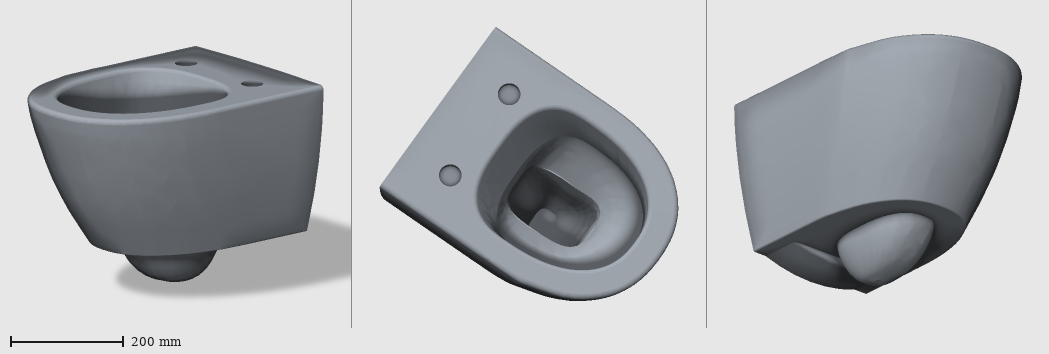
import cadquery as cq
import math


DECK_HEIGHT = 276.5
BODY_SECTIONS = [
    (0.0, 133.0, 357.5, 140.0),
    (66.0, 151.5, 401.0, 170.0),
    (140.0, 166.8, 438.0, 205.0),
    (205.0, 175.3, 462.5, 230.0),
    (268.0, 178.75, 480.5, 245.0),
    (290.0, 178.75, 482.5, 245.0),
]
BODY_EXPONENT = 2.3
BOTTOM_FILLET = 4.0
RIM_FILLET = 8.0

CROWN_AT_WALL = 3.2
CROWN_AT_FRONT = 0.2
CROWN_HALF_WIDTH = 200.0
CROWN_REACH = 500.0

LEDGE = (188.0, 116.0, 171.0, 418.0)
RIM = (DECK_HEIGHT, 130.5, 132.0, 428.0)
BOWL_TOP_HEIGHT = 290.0
FLOOR_MIDDLE = (150.0, 86.0, 172.0, 360.0)
FLOOR_BOTTOM = (108.0, 54.0, 173.0, 332.0)
BOWL_FRONT_EXPONENT = 2.35
BOWL_REAR_EXPONENT = 2.7
BOWL_WIDEST = 0.35
BOWL_EDGE_FILLET = 8.0

TROUGH_SECTIONS = [
    (125.0, 54.0, 168.0, 333.0),
    (40.0, 51.0, 188.0, 308.0),
    (-30.0, 43.0, 203.0, 272.0),
    (-66.0, 26.0, 208.0, 246.0),
]
TROUGH_EXPONENT = 3.5

TRAP_SECTIONS = [
    (20.0, 60.0, 96.0, 314.0),
    (0.0, 59.0, 100.5, 307.0),
    (-33.0, 55.3, 112.5, 289.5),
    (-58.0, 45.0, 128.0, 266.0),
    (-74.0, 32.5, 145.0, 238.5),
    (-82.0, 19.0, 165.0, 208.0),
    (-85.0, 8.0, 177.0, 193.0),
]
TRAP_EXPONENT = 2.5

PAD_HALF_WIDTH = 105.0
PAD_REACH = 80.0
PAD_DEPTH_AT_WALL = 17.5
PAD_DEPTH_AT_FRONT = 13.0
PAD_OVERLAP = 10.0
PAD_FILLET = 7.0

SEAT_HOLE_DIAMETER = 40.0
SEAT_HOLE_SPACING = 181.0
SEAT_HOLE_SETBACK = 91.0
SEAT_HOLE_DEPTH = 11.5

QUARTER_STEPS = 6


def superellipse_quarter(half_width, length, exponent):
    """Points from (half_width, 0) to (0, length) on one quarter of a superellipse."""
    points = []
    for step in range(QUARTER_STEPS + 1):
        angle = math.pi / 2 * step / QUARTER_STEPS
        x = half_width * max(math.cos(angle), 0.0) ** (2 / exponent)
        y = length * math.sin(angle) ** (2 / exponent)
        points.append((x if step < QUARTER_STEPS else 0.0, y))
    return points


def mirrored(points):
    """Continue a run of points ending on x = 0 with its mirror image."""
    return points + [(-x, y) for x, y in reversed(points[:-1])]


def body_wire(height, half_width, reach, straight):
    """D-shaped section: flat rear, straight sides and a rounded front."""
    quarter = superellipse_quarter(half_width, reach - straight, BODY_EXPONENT)
    front = [cq.Vector(x, -straight - y, height) for x, y in mirrored(quarter)]
    tangents = [cq.Vector(0, -1, 0), cq.Vector(0, 1, 0)]
    rear_right = cq.Vector(half_width, 0, height)
    rear_left = cq.Vector(-half_width, 0, height)
    return cq.Wire.assembleEdges([
        cq.Edge.makeLine(rear_left, rear_right),
        cq.Edge.makeLine(rear_right, front[0]),
        cq.Edge.makeSpline(front, tangents=tangents),
        cq.Edge.makeLine(front[-1], rear_left),
    ])


def oval_wire(section, front_exponent, rear_exponent, widest):
    """Closed oval section, widest at the given fraction of its length from the rear."""
    height, half_width, rear, front = section
    middle = rear + widest * (front - rear)
    front_half = mirrored(superellipse_quarter(half_width, front - middle, front_exponent))
    rear_half = mirrored(superellipse_quarter(half_width, middle - rear, rear_exponent))
    outline = [(x, -middle - y) for x, y in front_half]
    outline += [(-x, -middle + y) for x, y in rear_half[1:-1]]
    points = [cq.Vector(x, y, height) for x, y in outline]
    return cq.Wire.assembleEdges([cq.Edge.makeSpline(points, periodic=True)])


def oval_loft(sections, front_exponent, rear_exponent, widest=0.5):
    """Smooth solid through closed oval sections."""
    wires = [oval_wire(section, front_exponent, rear_exponent, widest) for section in sections]
    return cq.Workplane(cq.Solid.makeLoft(wires))


def arched_loft(half_width, reach, rises, base, far_side):
    """Solid between a flat plane z = far_side and an arched surface over y = 0 to -reach."""
    wires = []
    for y, rise in zip((0.0, -reach), rises):
        left = cq.Vector(-half_width, y, base)
        crown = cq.Vector(0, y, base + rise)
        right = cq.Vector(half_width, y, base)
        far_right = cq.Vector(half_width, y, far_side)
        far_left = cq.Vector(-half_width, y, far_side)
        wires.append(cq.Wire.assembleEdges([
            cq.Edge.makeThreePointArc(left, crown, right),
            cq.Edge.makeLine(right, far_right),
            cq.Edge.makeLine(far_right, far_left),
            cq.Edge.makeLine(far_left, left),
        ]))
    return cq.Workplane(cq.Solid.makeLoft(wires, True))


def make_body():
    """Tapering outer body with a crowned deck and rounded outline edges."""
    wires = [body_wire(*section) for section in BODY_SECTIONS]
    body = cq.Workplane(cq.Solid.makeLoft(wires))
    top_height = BODY_SECTIONS[-1][0]
    crown_rises = (CROWN_AT_WALL, CROWN_AT_FRONT)
    above_deck = arched_loft(CROWN_HALF_WIDTH, CROWN_REACH, crown_rises, DECK_HEIGHT, 2 * top_height)
    body = body.cut(above_deck)
    wall_edges = cq.selectors.BoxSelector((-500, -1, -500), (500, 1, 500))
    body = body.faces("<Z").edges(cq.selectors.InverseSelector(wall_edges)).fillet(BOTTOM_FILLET)
    return body.faces(">Z").edges(cq.selectors.InverseSelector(wall_edges)).fillet(RIM_FILLET)


def make_pad():
    """Arched pad hanging under the rear of the body, rounded at its front."""
    depths = (-PAD_DEPTH_AT_WALL, -PAD_DEPTH_AT_FRONT)
    pad = arched_loft(PAD_HALF_WIDTH, PAD_REACH, depths, 0.0, PAD_OVERLAP)
    return pad.faces("<Y").edges("<Z").fillet(PAD_FILLET)


def make_bowl():
    """Bowl cavity: steep upper wall, shallower floor below the ledge."""
    slope = (BOWL_TOP_HEIGHT - LEDGE[0]) / (RIM[0] - LEDGE[0])
    top = [low + slope * (high - low) for low, high in zip(LEDGE, RIM)]
    wall = oval_loft([LEDGE, top], BOWL_FRONT_EXPONENT, BOWL_REAR_EXPONENT, BOWL_WIDEST)
    floor = oval_loft([LEDGE, FLOOR_MIDDLE, FLOOR_BOTTOM], BOWL_FRONT_EXPONENT, BOWL_REAR_EXPONENT, BOWL_WIDEST)
    return wall, floor


def make_seat_holes():
    depth = SEAT_HOLE_DEPTH + 2 * CROWN_AT_WALL
    return (
        cq.Workplane("XY", origin=(0, -SEAT_HOLE_SETBACK, DECK_HEIGHT - SEAT_HOLE_DEPTH))
        .rarray(SEAT_HOLE_SPACING, 1, 2, 1)
        .circle(SEAT_HOLE_DIAMETER / 2)
        .extrude(depth)
    )


body = make_body()
bowl_wall, bowl_floor = make_bowl()
body = body.cut(bowl_wall)
rim_box = cq.selectors.BoxSelector((-150, -450, DECK_HEIGHT - 2), (150, -100, DECK_HEIGHT + 5), boundingbox=True)
body = body.edges(rim_box).fillet(BOWL_EDGE_FILLET)
body = body.union(oval_loft(TRAP_SECTIONS, TRAP_EXPONENT, TRAP_EXPONENT)).union(make_pad())
body = body.cut(bowl_floor).cut(oval_loft(TROUGH_SECTIONS, TROUGH_EXPONENT, TROUGH_EXPONENT))
result = body.cut(make_seat_holes())